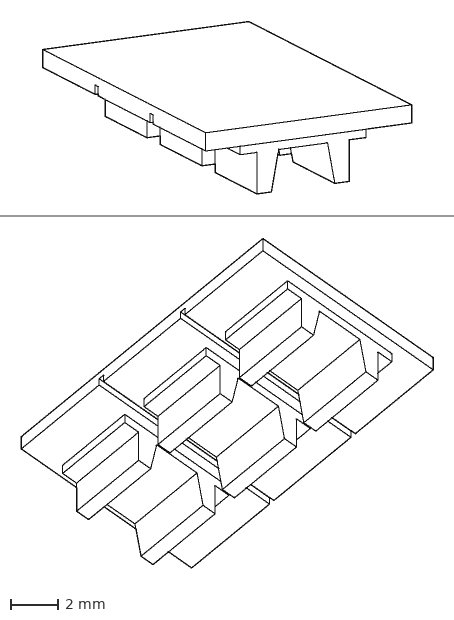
import cadquery as cq

length = 15.05
width = 9.8
height = 3.15
plate_thickness = 0.8

block_count = 3
block_pitch = 5.07
block_length = 3.87
groove_width = 0.27
groove_depth = 0.4

pad_width = 5.99
pad_thickness = 0.53
legs_outer_width = 4.4
leg_gap_at_root = 2.32
leg_gap_at_tip = 3.01

plate_bottom = height - plate_thickness
pad_bottom = plate_bottom - pad_thickness


def centred_positions(count):
    """X positions of a row spaced at the block pitch and centred on the part."""
    return [(i - (count - 1) / 2) * block_pitch for i in range(count)]


def make_plate():
    plate = cq.Workplane("XY").box(length, width, plate_thickness, centered=(True, True, False))
    return plate.translate((0, 0, plate_bottom))


def make_groove(x):
    groove = cq.Workplane("XY").box(groove_width, width, groove_depth, centered=(True, True, False))
    return groove.translate((x, 0, plate_bottom))


def make_clip(x):
    half_profile = [
        (pad_width / 2, plate_bottom),
        (pad_width / 2, pad_bottom),
        (legs_outer_width / 2, pad_bottom),
        (legs_outer_width / 2, 0),
        (leg_gap_at_tip / 2, 0),
        (leg_gap_at_root / 2, pad_bottom),
    ]
    mirrored_half = [(-y, z) for y, z in reversed(half_profile)]
    clip = cq.Workplane("YZ").polyline(half_profile + mirrored_half).close()
    return clip.extrude(block_length / 2, both=True).translate((x, 0, 0))


result = make_plate()
for groove_x in centred_positions(block_count - 1):
    result = result.cut(make_groove(groove_x))
for clip_x in centred_positions(block_count):
    result = result.union(make_clip(clip_x))